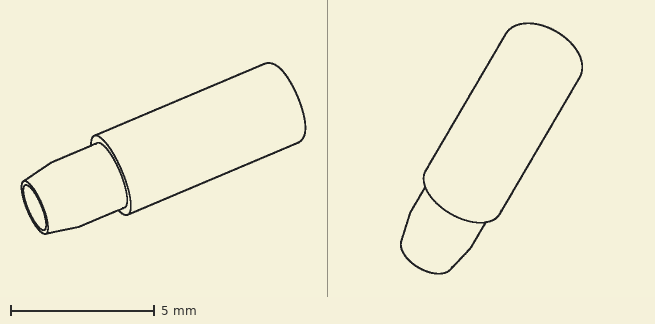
import cadquery as cq

total_length = 10.0
body_diameter = 3.0
body_length = 7.0
body_end_fillet = 0.3

neck_diameter = 2.45
tip_diameter = 2.0
taper_length = 1.2

bore_diameter = 1.7
bore_depth = total_length - body_length

tip_y = 0.0
taper_end_y = tip_y + taper_length
shoulder_y = total_length - body_length
closed_end_y = total_length


def make_turned_blank():
    """Solid of revolution: tapered tip, neck, shoulder and body."""
    profile = (
        cq.Workplane("XY")
        .moveTo(0, tip_y)
        .lineTo(tip_diameter / 2, tip_y)
        .lineTo(neck_diameter / 2, taper_end_y)
        .lineTo(neck_diameter / 2, shoulder_y)
        .lineTo(body_diameter / 2, shoulder_y)
        .lineTo(body_diameter / 2, closed_end_y)
        .lineTo(0, closed_end_y)
        .close()
    )
    blank = profile.revolve(360, (0, 0, 0), (0, 1, 0))
    return blank.faces(">Y").edges().fillet(body_end_fillet)


def make_bore():
    """Flat-bottomed cylinder running from the tip toward +Y."""
    tip_plane = cq.Plane(origin=(0, tip_y, 0), xDir=(1, 0, 0), normal=(0, 1, 0))
    return cq.Workplane(tip_plane).circle(bore_diameter / 2).extrude(bore_depth)


result = make_turned_blank().cut(make_bore())